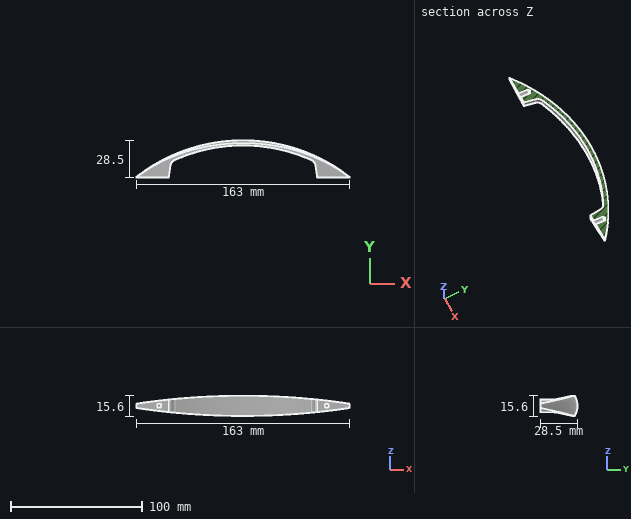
import cadquery as cq
import math

length = 163.0
rise = 28.5
middle_width = 15.6
tip_width = 3.5
tip_height = 0.3
tip_corner_radius = 1.3
bow_thickness = 4.0
crown_height = 2.3
foot_length = 25.0
foot_draft = 8.0
foot_fillet_radius = 5.7
hole_spacing = 128.0
hole_diameter = 3.3
hole_depth = 8.2
drill_point_angle = 118.0

half_length = length / 2
half_width = middle_width / 2

ridge_sagitta = rise - tip_height
ridge_radius = (half_length**2 + ridge_sagitta**2) / (2 * ridge_sagitta)
inner_radius = ridge_radius - bow_thickness
bow_center_y = rise - ridge_radius


def side_profile():
    """Bow and both feet, outlined in XY and extruded over the full width."""
    foot_x = half_length - foot_length
    slope = math.tan(math.radians(foot_draft))
    a = 1 + slope**2
    b = -2 * (foot_x * slope + bow_center_y)
    c = foot_x**2 + bow_center_y**2 - inner_radius**2
    corner_y = (-b + math.sqrt(b**2 - 4 * a * c)) / (2 * a)
    corner_x = foot_x - slope * corner_y
    body = (
        cq.Workplane("XY")
        .workplane(offset=-half_width)
        .moveTo(-half_length, 0)
        .lineTo(-half_length, tip_height)
        .threePointArc((0, rise), (half_length, tip_height))
        .lineTo(half_length, 0)
        .lineTo(foot_x, 0)
        .lineTo(corner_x, corner_y)
        .threePointArc((0, rise - bow_thickness), (-corner_x, corner_y))
        .lineTo(-foot_x, 0)
        .close()
        .extrude(middle_width)
    )
    reach = foot_fillet_radius / 2
    inner_corners = cq.selectors.BoxSelector(
        (-corner_x - reach, corner_y - reach, -half_width),
        (corner_x + reach, corner_y + reach, half_width),
    )
    return body.edges("|Z").edges(inner_corners).fillet(foot_fillet_radius)


def width_profile():
    """Lens outline in XZ that narrows the bow toward its rounded tips."""
    half_tip = tip_width / 2
    return (
        cq.Workplane("XZ")
        .moveTo(-half_length, -half_tip)
        .lineTo(-half_length, half_tip)
        .threePointArc((0, half_width), (half_length, half_tip))
        .lineTo(half_length, -half_tip)
        .threePointArc((0, -half_width), (-half_length, -half_tip))
        .close()
        .extrude(-rise)
        .edges("|Y")
        .fillet(tip_corner_radius)
    )


def crowned_envelope():
    """Disc with a domed rim, which gives the outer face its crown."""
    rim_radius = ridge_radius - crown_height
    return (
        cq.Workplane("XZ")
        .moveTo(0, -half_width)
        .lineTo(rim_radius, -half_width)
        .threePointArc((ridge_radius, 0), (rim_radius, half_width))
        .lineTo(0, half_width)
        .close()
        .revolve(360, (0, 0), (0, 1))
        .translate((0, bow_center_y, 0))
    )


def mounting_hole(x):
    """Blind drilled screw hole, entering the foot at y = 0 and ending in a cone."""
    radius = hole_diameter / 2
    point_height = radius / math.tan(math.radians(drill_point_angle / 2))
    return (
        cq.Workplane("XY")
        .lineTo(radius, 0)
        .lineTo(radius, hole_depth)
        .lineTo(0, hole_depth + point_height)
        .close()
        .revolve(360, (0, 0), (0, 1))
        .translate((x, 0, 0))
    )


result = side_profile().intersect(width_profile()).intersect(crowned_envelope())
for hole_x in (-hole_spacing / 2, hole_spacing / 2):
    result = result.cut(mounting_hole(hole_x))